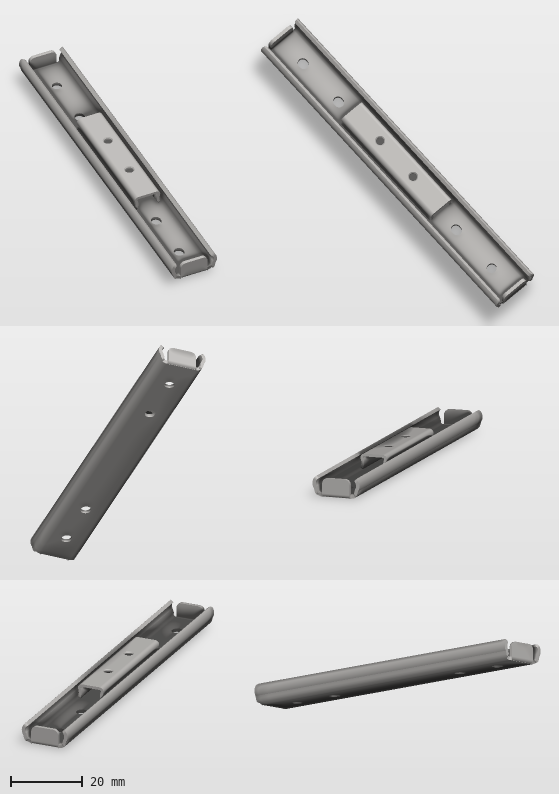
import cadquery as cq
import math

rail_length = 100.0
rail_width = 14.0
rail_wall = 1.0
floor_half_width = 4.4
bend_radius = 2.0
bend_end = -12.0
raceway_radius = 2.6
raceway_height = 3.8
raceway_start = -33.5
raceway_end = 52.0
raceway_inner_end = 60.0
tip_corner_radius = 0.9

tab_half_width = 4.1
tab_height = 5.4
tab_corner_radius = 1.5
tab_bend_radius = 1.0
tab_inner_bend_radius = 0.3

relief_radius = 0.65
relief_end = -50.0
relief_corner_radius = 0.6

rail_hole_diameter = 2.8
round_hole_x = -40.0
slot_positions = (-25.0, 25.0, 40.0)
slot_length = 3.3

carriage_length = 38.0
carriage_x = 0.4
carriage_top = 6.4
carriage_wall = 0.8
carriage_corner_radius = 1.2
carriage_flat_half_width = 2.7
groove_radius = 3.0
groove_start = -20.0
groove_sweep = 51.0
leg_corner_radius = 0.6
carriage_hole_spacing = 14.0
carriage_hole_diameter = 2.3
countersink_diameter = 2.9
countersink_angle = 90.0


def polar(center, radius, degrees):
    angle = math.radians(degrees)
    return (center[0] + radius * math.cos(angle), center[1] + radius * math.sin(angle))


def add_arc(sketch, center, radius, start, end):
    """Continue an outline along an arc that starts at its current point."""
    return sketch.threePointArc(polar(center, radius, (start + end) / 2), polar(center, radius, end))


def across(x):
    """Cross-section plane at x, with Y to the right and Z up."""
    return cq.Workplane("YZ", origin=(x, 0, 0))


bend_center = (floor_half_width, bend_radius)
bend_inner_radius = bend_radius - rail_wall
raceway_center = (rail_width / 2 - raceway_radius, raceway_height)
raceway_inner_radius = raceway_radius - rail_wall
relief_y = tab_half_width + relief_radius


def half_channel():
    """Floor, bend and rolled raceway on the +Y side of the rail."""
    outline = across(-rail_length / 2).lineTo(floor_half_width, 0)
    outline = add_arc(outline, bend_center, bend_radius, -90, bend_end)
    outline = outline.lineTo(*polar(raceway_center, raceway_radius, raceway_start))
    outline = add_arc(outline, raceway_center, raceway_radius, raceway_start, raceway_end)
    outline = outline.lineTo(*polar(raceway_center, raceway_inner_radius, raceway_inner_end))
    outline = add_arc(outline, raceway_center, raceway_inner_radius, raceway_inner_end, raceway_start)
    outline = outline.lineTo(*polar(bend_center, bend_inner_radius, bend_end))
    outline = add_arc(outline, bend_center, bend_inner_radius, bend_end, -90)
    channel = outline.lineTo(0, rail_wall).close().extrude(rail_length)

    for end in (-1, 1):
        channel = channel.cut(end_cutout(end))
    channel = round_end_corners(channel, raceway_center, raceway_radius, raceway_end, tip_corner_radius)
    return round_end_corners(channel, bend_center, bend_radius, relief_end, relief_corner_radius)


def end_cutout(end):
    """Clears the floor end for the tab, and the relief notch up into the bend."""
    slope = math.tan(math.radians(relief_end))
    near_point = (relief_y, bend_center[1] + (relief_y - bend_center[0]) * slope)
    far_point = polar(bend_center, 2 * bend_radius, relief_end)
    notch = (
        across(end * rail_length / 2)
        .polyline([(relief_y, far_point[1]), far_point, near_point])
        .close()
        .extrude(-end * relief_radius)
    )
    pocket = (
        cq.Workplane("XY", origin=(end * rail_length / 2, relief_y, 0))
        .circle(relief_radius)
        .extrude(bend_radius)
    )
    strip = (
        cq.Workplane("XY", origin=(end * rail_length / 2, 0, 0))
        .box(2 * relief_radius, 2 * tab_half_width, bend_radius, centered=(True, True, False))
    )
    return notch.union(pocket).union(strip)


def round_end_corners(body, center, radius, degrees, corner_radius):
    """Round the edges that cross the wall at the given arc angle, at both rail ends."""
    middle = polar(center, radius - rail_wall / 2, degrees)
    for end in (-1, 1):
        x = end * rail_length / 2
        body = body.edges(cq.selectors.NearestToPointSelector((x, *middle))).fillet(corner_radius)
    return body


def tabbed_strip():
    """Middle strip of the floor, bent up at both ends into round-cornered tabs."""
    strip = (
        cq.Workplane("XY")
        .box(rail_length, 2 * tab_half_width, tab_height, centered=(True, True, False))
        .edges("|Y and <Z")
        .fillet(tab_bend_radius)
        .edges("|X and >Z")
        .fillet(tab_corner_radius)
    )
    inside = (
        cq.Workplane("XY", origin=(0, 0, rail_wall))
        .box(rail_length - 2 * rail_wall, rail_width, tab_height, centered=(True, True, False))
        .edges("|Y and <Z")
        .fillet(tab_inner_bend_radius)
    )
    return strip.cut(inside)


def rail_holes():
    round_hole = (
        cq.Workplane("XY", origin=(round_hole_x, 0, 0))
        .circle(rail_hole_diameter / 2)
        .extrude(rail_wall)
    )
    slots = (
        cq.Workplane("XY")
        .pushPoints([(x, 0) for x in slot_positions])
        .slot2D(slot_length, rail_hole_diameter)
        .extrude(rail_wall)
    )
    return round_hole.union(slots)


def make_rail():
    half = half_channel()
    return half.union(half.mirror("XZ")).union(tabbed_strip()).cut(rail_holes())


def half_carriage():
    """Half of the web and the grooved leg on the +Y side."""
    corner_center = (carriage_flat_half_width, carriage_top - carriage_corner_radius)
    corner_inner = carriage_corner_radius - carriage_wall
    groove_center = polar(corner_center, carriage_corner_radius + groove_radius, groove_start)
    groove_inner = groove_radius + carriage_wall
    groove_top = 180 + groove_start
    groove_tip = groove_top + groove_sweep

    outline = across(carriage_x - carriage_length / 2).moveTo(0, carriage_top)
    outline = outline.lineTo(carriage_flat_half_width, carriage_top)
    outline = add_arc(outline, corner_center, carriage_corner_radius, 90, groove_start)
    outline = add_arc(outline, groove_center, groove_radius, groove_top, groove_tip)
    outline = outline.lineTo(*polar(groove_center, groove_inner, groove_tip))
    outline = add_arc(outline, groove_center, groove_inner, groove_tip, groove_top)
    outline = add_arc(outline, corner_center, corner_inner, groove_start, 90)
    leg = outline.lineTo(0, carriage_top - carriage_wall).close().extrude(carriage_length)

    tip = polar(groove_center, groove_radius + carriage_wall / 2, groove_tip)
    for end in (-1, 1):
        x = carriage_x + end * carriage_length / 2
        leg = leg.edges(cq.selectors.NearestToPointSelector((x, *tip))).fillet(leg_corner_radius)
    return leg


def make_carriage():
    """Inverted channel with two countersunk holes in its web."""
    half = half_carriage()
    return (
        half.union(half.mirror("XZ"))
        .faces(">Z")
        .workplane(origin=(carriage_x, 0, carriage_top))
        .pushPoints([(-carriage_hole_spacing / 2, 0), (carriage_hole_spacing / 2, 0)])
        .cskHole(carriage_hole_diameter, countersink_diameter, countersink_angle, depth=carriage_wall)
    )


rail = make_rail()
carriage = make_carriage()
result = cq.Compound.makeCompound([rail.val(), carriage.val()])